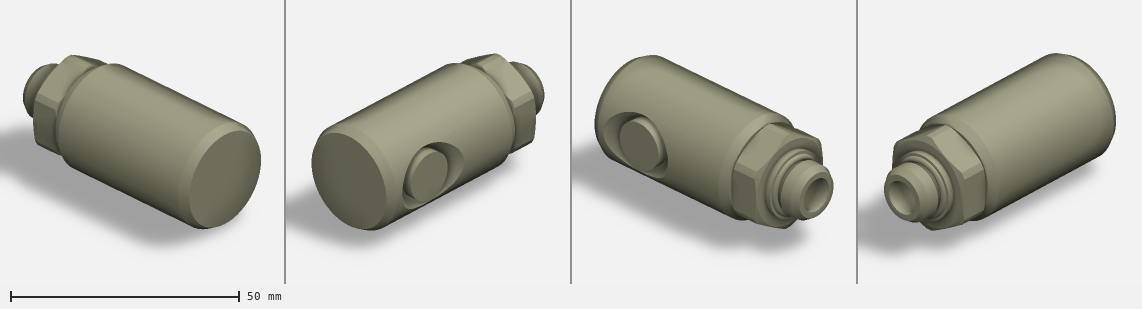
import cadquery as cq
import math

overall_length = 56.1
tip_chamfer_end = 1.7
groove_taper_start = 4.6
groove_start = 5.3
collar_start = 6.4
hex_start = 7.95
body_start = 15.5

tip_radius = 5.45
spigot_radius = 13.0 / 2
groove_radius = 11.6 / 2
seal_ring_radius = 7.35
collar_radius = 16.0 / 2
body_radius = 25.0 / 2
bore_radius = 8.0 / 2

body_end_radius = 11.35
body_front_chamfer = 2.15
body_back_chamfer = 2.15

hex_across_flats = 21.2
hex_corner_radius = 11.8
hex_face_radius = 10.4
hex_chamfer = 0.7

recess_x = 42.6
recess_radius = 9.75
boss_radius = 5.8
boss_top = 11.4
recess_floor = body_radius - (recess_radius - boss_radius)


def revolve_about_x(profile):
    """Turn a closed (x, radius) profile around the X axis."""
    return profile.close().revolve(360, (0, 0, 0), (1, 0, 0))


def make_spigot():
    ring_section_radius = (seal_ring_radius - groove_radius) / 2
    ring_nose = (collar_start - ring_section_radius, groove_radius + ring_section_radius)
    profile = (
        cq.Workplane("XY")
        .moveTo(0, 0)
        .lineTo(0, tip_radius)
        .lineTo(tip_chamfer_end, spigot_radius)
        .lineTo(groove_taper_start, spigot_radius)
        .lineTo(groove_start, groove_radius)
        .lineTo(collar_start, groove_radius)
        .threePointArc(ring_nose, (collar_start, seal_ring_radius))
        .lineTo(collar_start, collar_radius)
        .lineTo(hex_start, collar_radius)
        .lineTo(hex_start, 0)
    )
    return revolve_about_x(profile)


def make_hex():
    prism = (
        cq.Workplane("YZ", origin=(hex_start, 0, 0))
        .transformed(rotate=(0, 0, 90))
        .polygon(6, hex_across_flats / math.cos(math.pi / 6))
        .extrude(body_start - hex_start)
    )
    envelope = (
        cq.Workplane("XY")
        .moveTo(hex_start, 0)
        .lineTo(hex_start, hex_face_radius)
        .lineTo(hex_start + hex_chamfer, hex_corner_radius)
        .lineTo(body_start - hex_chamfer, hex_corner_radius)
        .lineTo(body_start, hex_face_radius)
        .lineTo(body_start, 0)
    )
    return prism.intersect(revolve_about_x(envelope))


def make_body():
    profile = (
        cq.Workplane("XY")
        .moveTo(body_start, 0)
        .lineTo(body_start, body_end_radius)
        .lineTo(body_start + body_front_chamfer, body_radius)
        .lineTo(overall_length - body_back_chamfer, body_radius)
        .lineTo(overall_length, body_end_radius)
        .lineTo(overall_length, 0)
    )
    return revolve_about_x(profile)


def make_recess():
    """Cone narrowing inwards from the body surface to the foot of the boss."""
    profile = (
        cq.Workplane("XY")
        .moveTo(recess_x, recess_floor)
        .lineTo(recess_x + boss_radius, recess_floor)
        .lineTo(recess_x + recess_radius, body_radius)
        .lineTo(recess_x, body_radius)
        .close()
    )
    return profile.revolve(360, (recess_x, 0, 0), (recess_x, 1, 0))


def make_boss():
    """Flat-topped cylinder standing along +Y from the body axis."""
    return (
        cq.Workplane("XZ")
        .center(recess_x, 0)
        .circle(boss_radius)
        .extrude(-boss_top)
    )


bore = cq.Workplane("YZ").circle(bore_radius).extrude(body_start)

body = make_body().cut(make_recess()).union(make_boss())
result = make_spigot().union(make_hex()).union(body).cut(bore)